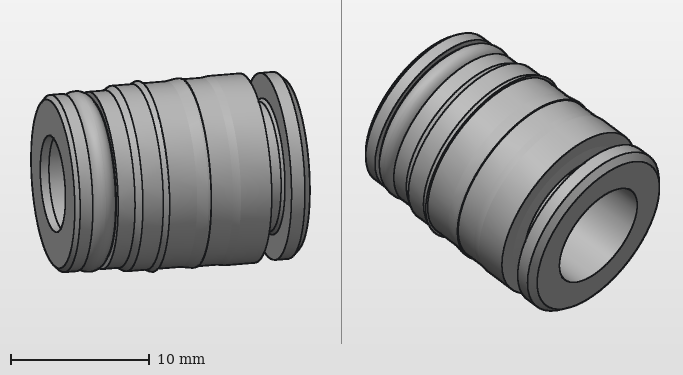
import cadquery as cq

length = 17.5

lip_radius = 3.5
bore_radius = 4.0
lip_depth = 0.65

nose_radius = 6.42
nose_chamfer = 0.32
groove_start = 1.26
groove_end = 3.15
groove_floor_radius = 5.9
ring_section_radius = 0.95
ring_outer_radius = 6.55

nose_end = 4.41
taper_end = 4.92
barrel_radius = 6.72
ridge_diameter = 13.85
ridge_radius = ridge_diameter / 2
ridge_start = 6.44
ridge_end = 6.86
flare_start = 8.96
band_start = 9.78
band_end = 10.0
waist_radius = 6.77
waist_end = 11.62
shoulder_start = 12.2
body_radius = 6.86
body_end = 14.49

neck_radius = 4.7
neck_start = 14.68
neck_end = 15.77
mouth_radius = 5.69
flange_root_radius = 4.94
flange_start = 16.0
flange_radius = 6.77
flange_chamfer_start = 17.0
flange_face_radius = 6.3


def revolve_about_y(profile):
    return profile.revolve(360, (0, 0, 0), (0, 1, 0))


def make_sleeve():
    bore = [
        (bore_radius, length),
        (bore_radius, lip_depth),
        (lip_radius, lip_depth),
        (lip_radius, 0),
    ]
    nose = [
        (nose_radius - nose_chamfer, 0),
        (nose_radius, nose_chamfer),
        (nose_radius, groove_start),
        (groove_floor_radius, groove_start),
        (groove_floor_radius, groove_end),
        (nose_radius, groove_end),
        (nose_radius, nose_end),
    ]
    body = [
        (barrel_radius, taper_end),
        (barrel_radius, ridge_start),
        (ridge_radius, ridge_end),
        (barrel_radius, ridge_end),
        (barrel_radius, flare_start),
        (body_radius, band_start),
        (body_radius, band_end),
        (waist_radius, band_end),
        (waist_radius, waist_end),
        (body_radius, shoulder_start),
        (body_radius, body_end),
    ]
    collar = [
        (mouth_radius, body_end),
        (neck_radius, neck_start),
        (neck_radius, neck_end),
        (flange_root_radius, flange_start),
        (flange_radius, flange_start),
        (flange_radius, flange_chamfer_start),
        (flange_face_radius, length),
    ]
    outline = cq.Workplane("XY").polyline(bore + nose + body + collar).close()
    return revolve_about_y(outline)


def make_o_ring():
    centre_radius = ring_outer_radius - ring_section_radius
    centre_y = (groove_start + groove_end) / 2
    section = cq.Workplane("XY").center(centre_radius, centre_y).circle(ring_section_radius)
    return section.revolve(360, (-centre_radius, 0, 0), (-centre_radius, 1, 0))


result = make_sleeve().union(make_o_ring())